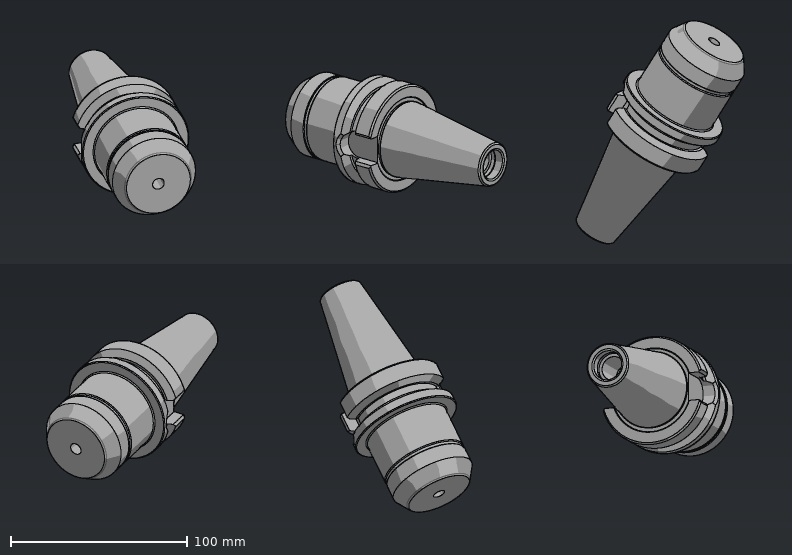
import cadquery as cq
import math

total_length = 137.9
taper_length = 65.4
flange_start = 66.3
flange_end = 92.4

taper_large_radius = 22.2
taper_slope = 7 / 48
taper_edge_chamfer = 0.8
neck_radius = 21.9

flange_radius = 63.0 / 2
flange_front_chamfer = 1.0
flange_rear_chamfer = 0.5
face_recess_depth = 0.4
face_recess_radius = 24.1
face_recess_mouth_radius = 24.5
gripper_start = 77.1
gripper_floor_start = 79.4
gripper_floor_end = 84.4
gripper_end = 87.2
gripper_lip_radius = 27.0
gripper_floor_radius = 25.5

slot_floor = 22.6
slot_half_width = 16.1 / 2
slot_tip = 88.4
slot_chamfer = 1.7

nose_radius = 49.2 / 2
nose_root_chamfer = 0.7
nose_groove_start = 117.4
nose_groove_end = 120.1
nose_groove_start_bevel = 0.7
nose_groove_end_bevel = 0.4
nose_groove_radius = 24.1
nose_cone_start = 129.1
nose_cone_end_radius = 19.7
nose_tip_chamfer = 0.8

pilot_radius = 17.0 / 2
pilot_mouth_radius = 9.5
pilot_mouth_length = 0.5
pilot_depth = 9.0
relief_radius = 8.8
relief_start = 5.7
relief_bevel_length = 0.8
thread_radius = 6.9
thread_depth = 30.3
drill_radius = 3.5
thread_cone_angle = 118

tolerance = 0.01


def revolve_about_x(points):
    """Solid of revolution from (axial position, radius) points; closed along the axis."""
    profile = [(points[0][0], 0)] + points + [(points[-1][0], 0)]
    return cq.Workplane("XY").polyline(profile).close().revolve(360, (0, 0, 0), (1, 0, 0))


def make_shank():
    chamfer_end_radius = taper_large_radius - taper_slope * (taper_length - taper_edge_chamfer)
    return revolve_about_x([
        (0, chamfer_end_radius - taper_edge_chamfer),
        (taper_edge_chamfer, chamfer_end_radius),
        (taper_length, taper_large_radius),
        (taper_length, neck_radius),
        (gripper_start, neck_radius),
    ])


def make_slotted_blank():
    """Plain flange disc with both drive slots cut and their rims chamfered."""
    blank = cq.Workplane("YZ", origin=(flange_start, 0, 0)).circle(flange_radius)
    blank = blank.extrude(flange_end - flange_start)
    slot_length = 2 * (slot_tip - flange_start)
    slot = (
        cq.Workplane("XZ", origin=(flange_start, -slot_floor, 0))
        .slot2D(slot_length, 2 * slot_half_width)
        .extrude(flange_radius - slot_floor)
    )
    blank = blank.cut(slot).cut(slot.mirror("XZ"))
    wall_faces = [
        face for face in blank.faces().vals()
        if face.Center().x > flange_start
        and face.BoundingBox().xmax <= slot_tip + tolerance
        and abs(face.Center().y) > slot_floor + tolerance
    ]
    rim_edges = [
        edge for face in wall_faces for edge in face.Edges()
        if edge.BoundingBox().xlen > tolerance
        and abs(edge.Center().y) > (slot_floor + flange_radius) / 2
    ]
    return blank.newObject(rim_edges).chamfer(slot_chamfer)


def make_flange():
    """Slotted disc trimmed to the flange profile, gripper groove and face recess."""
    profile = revolve_about_x([
        (flange_start, flange_radius - flange_front_chamfer),
        (flange_start + flange_front_chamfer, flange_radius),
        (gripper_start, flange_radius),
        (gripper_floor_start, gripper_lip_radius),
        (gripper_floor_start, gripper_floor_radius),
        (gripper_floor_end, gripper_floor_radius),
        (gripper_floor_end, gripper_lip_radius),
        (gripper_end, flange_radius),
        (flange_end - flange_rear_chamfer, flange_radius),
        (flange_end, flange_radius - flange_rear_chamfer),
    ])
    recess = revolve_about_x([
        (flange_start, face_recess_mouth_radius),
        (flange_start + face_recess_depth, face_recess_radius),
    ])
    return make_slotted_blank().intersect(profile).cut(recess)


def make_nose():
    return revolve_about_x([
        (flange_end, nose_radius + nose_root_chamfer),
        (flange_end + nose_root_chamfer, nose_radius),
        (nose_groove_start, nose_radius),
        (nose_groove_start + nose_groove_start_bevel, nose_groove_radius),
        (nose_groove_end - nose_groove_end_bevel, nose_groove_radius),
        (nose_groove_end, nose_radius),
        (nose_cone_start, nose_radius),
        (total_length - nose_tip_chamfer, nose_cone_end_radius),
        (total_length, nose_cone_end_radius - nose_tip_chamfer),
    ])


def make_bore():
    cone_length = (thread_radius - drill_radius) / math.tan(math.radians(thread_cone_angle / 2))
    return revolve_about_x([
        (0, pilot_mouth_radius),
        (pilot_mouth_length, pilot_radius),
        (relief_start, pilot_radius),
        (relief_start + relief_bevel_length, relief_radius),
        (pilot_depth, relief_radius),
        (pilot_depth, thread_radius),
        (thread_depth, thread_radius),
        (thread_depth + cone_length, drill_radius),
        (total_length, drill_radius),
    ])


result = make_shank().union(make_flange()).union(make_nose()).cut(make_bore())